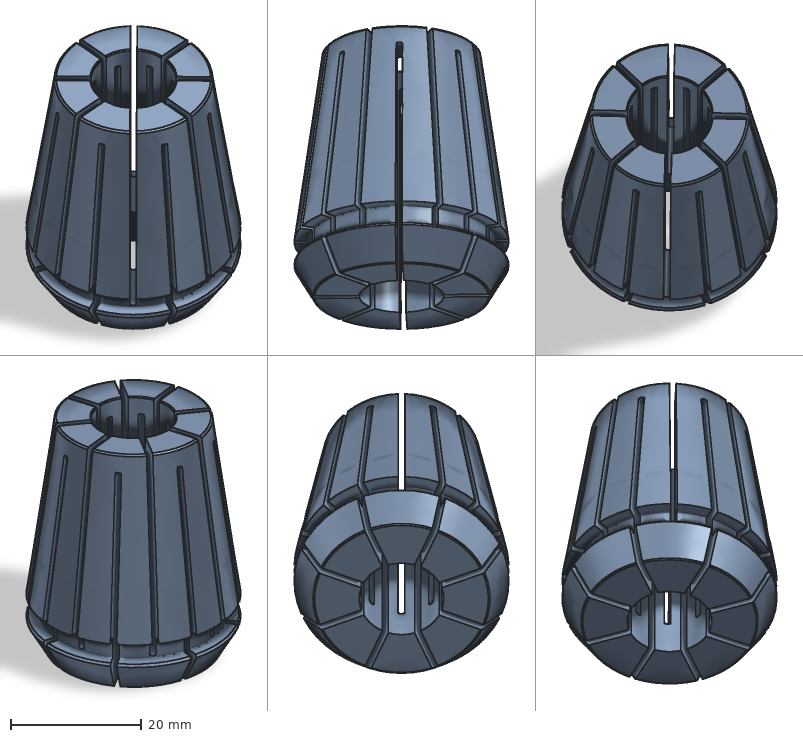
import cadquery as cq
import math

LENGTH = 40.0
OUTER_RADIUS = 16.5
BORE_RADIUS = 6.5

NOSE_HALF_ANGLE = math.radians(30)
NOSE_RIM_Z = 5.15
NOSE_TOP_Z = 5.6
NOSE_TOP_RADIUS = 16.2

GROOVE_RADIUS = 14.5
GROOVE_CORNER_RADIUS = 0.15
TAPER_START_Z = 9.1
TAPER_HALF_ANGLE = math.radians(8)

BOTTOM_OUTER_CHAMFER = 0.15
TOP_OUTER_CHAMFER = 0.3
TOP_BORE_CHAMFER = 0.2

SLOT_COUNT = 8
SLOT_WIDTH = 1.0
SLOT_CORNER_RADIUS = 0.45
LOWER_SLOT_TOP_Z = 37.05
UPPER_SLOT_BOTTOM_Z = 6.0

CUTTER_OVERRUN = 2.0

nose_slope = math.tan(NOSE_HALF_ANGLE)
taper_slope = math.tan(TAPER_HALF_ANGLE)
nose_bottom_radius = OUTER_RADIUS - NOSE_RIM_Z * nose_slope
taper_top_radius = OUTER_RADIUS - (LENGTH - TAPER_START_Z) * taper_slope


def collet_body():
    """Solid of revolution: nose, taper and bore, with the groove cut in."""
    profile = [
        (BORE_RADIUS, 0),
        (nose_bottom_radius - BOTTOM_OUTER_CHAMFER, 0),
        (nose_bottom_radius + BOTTOM_OUTER_CHAMFER * nose_slope, BOTTOM_OUTER_CHAMFER),
        (OUTER_RADIUS, NOSE_RIM_Z),
        (NOSE_TOP_RADIUS, NOSE_TOP_Z),
        (OUTER_RADIUS, NOSE_TOP_Z),
        (OUTER_RADIUS, TAPER_START_Z),
        (taper_top_radius + TOP_OUTER_CHAMFER * taper_slope, LENGTH - TOP_OUTER_CHAMFER),
        (taper_top_radius - TOP_OUTER_CHAMFER, LENGTH),
        (BORE_RADIUS + TOP_BORE_CHAMFER, LENGTH),
        (BORE_RADIUS, LENGTH - TOP_BORE_CHAMFER),
    ]
    body = cq.Workplane("XZ").polyline(profile).close().revolve(360, (0, 0), (0, 1))
    return body.cut(extraction_groove())


def extraction_groove():
    """Ring cutter with both inner corners rounded."""
    groove_width = TAPER_START_Z - NOSE_TOP_Z
    ring_radius = OUTER_RADIUS + CUTTER_OVERRUN
    ring = cq.Workplane("XY", origin=(0, 0, NOSE_TOP_Z)).circle(ring_radius).extrude(groove_width)
    core = cq.Workplane("XY", origin=(0, 0, NOSE_TOP_Z)).circle(GROOVE_RADIUS).extrude(groove_width)
    ring = ring.cut(core)
    inner_edges = cq.selectors.RadiusNthSelector(0)
    return ring.faces("<Z or >Z").edges(inner_edges).fillet(GROOVE_CORNER_RADIUS)


def radial_slot(open_z, closed_z, angle):
    """Cutter from the axis outward, open at one end, with rounded corners at closed_z."""
    reach = OUTER_RADIUS + CUTTER_OVERRUN
    height = abs(open_z - closed_z)
    closed_end = "<Z" if closed_z < open_z else ">Z"
    return (
        cq.Workplane("XY", origin=(0, 0, min(open_z, closed_z)))
        .box(reach, SLOT_WIDTH, height, centered=(False, True, False))
        .faces(closed_end)
        .edges("|X")
        .fillet(SLOT_CORNER_RADIUS)
        .rotate((0, 0, 0), (0, 0, 1), angle)
    )


result = collet_body()

slot_pitch = 360 / SLOT_COUNT
for index in range(SLOT_COUNT):
    lower_angle = index * slot_pitch
    upper_angle = lower_angle + slot_pitch / 2
    result = result.cut(radial_slot(-CUTTER_OVERRUN, LOWER_SLOT_TOP_Z, lower_angle))
    result = result.cut(radial_slot(LENGTH + CUTTER_OVERRUN, UPPER_SLOT_BOTTOM_Z, upper_angle))